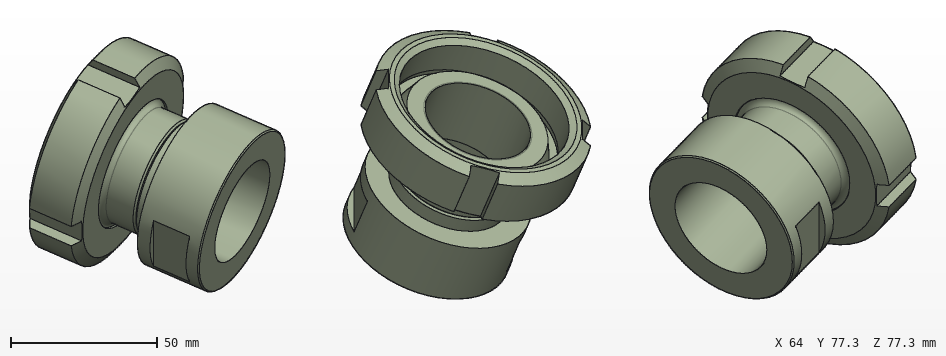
import cadquery as cq
import math

OVERALL_LENGTH = 64.0
BORE_DIAMETER = 38.0
NECK_DIAMETER = 43.0
WELD_X = 33.95
WELD_BEVEL = 0.7

NUT_SPAN = 77.35
NUT_LENGTH = 21.05
NUT_BEVEL_LENGTH = 2.3
NUT_FACE_DIAMETER = 69.5
NUT_THREAD_DIAMETER = 61.2
NUT_MOUTH_DIAMETER = 65.9
NUT_MOUTH_DEPTH = 1.5
NUT_REAR_HOLE_DIAMETER = 48.0
UNDERCUT_DIAMETER = 62.2
THREAD_END_X = 12.85
NUT_SEAT_X = 18.0
SLOT_COUNT = 4
SLOT_WIDTH = 10.2
SLOT_FLOOR_RADIUS = 35.0

NOSE_X = 8.3
NOSE_DIAMETER = 50.9
NOSE_RIM_DIAMETER = 39.0
NOSE_FACE_DROP = 0.5
CONE_DIAMETER = 56.0
FLANGE_FRONT_X = 15.0
FLANGE_DIAMETER = UNDERCUT_DIAMETER
HUB_DIAMETER = 47.8
NECK_START_X = 22.7

COLLAR_DIAMETER = 60.0
COLLAR_START_X = 39.8
COLLAR_BEVEL = 0.5
FLAT_START_X = 44.8
FLAT_LENGTH = 14.15
FLAT_DISTANCE = 55.0


def revolve_about_x(profile):
    """Turn a closed (x, radius) profile into a solid about the X axis."""
    return profile.close().revolve(360, (0, 0, 0), (1, 0, 0))


def make_nut():
    outer_radius = math.hypot(NUT_SPAN / 2, SLOT_WIDTH / 2)
    face_radius = NUT_FACE_DIAMETER / 2
    thread_radius = NUT_THREAD_DIAMETER / 2
    mouth_radius = NUT_MOUTH_DIAMETER / 2
    undercut_radius = UNDERCUT_DIAMETER / 2
    rear_hole_radius = NUT_REAR_HOLE_DIAMETER / 2
    profile = cq.Workplane("XY").polyline([
        (0, mouth_radius),
        (0, face_radius),
        (NUT_BEVEL_LENGTH, outer_radius),
        (NUT_LENGTH - NUT_BEVEL_LENGTH, outer_radius),
        (NUT_LENGTH, face_radius),
        (NUT_LENGTH, rear_hole_radius),
        (NUT_SEAT_X, rear_hole_radius),
        (NUT_SEAT_X, undercut_radius),
        (THREAD_END_X, undercut_radius),
        (THREAD_END_X, thread_radius),
        (NUT_MOUTH_DEPTH, thread_radius),
    ])
    nut = revolve_about_x(profile)

    slot_height = outer_radius
    for index in range(SLOT_COUNT):
        slot = (
            cq.Workplane("XY")
            .box(NUT_LENGTH, SLOT_WIDTH, slot_height, centered=(False, True, False))
            .translate((0, 0, SLOT_FLOOR_RADIUS))
            .rotate((0, 0, 0), (1, 0, 0), index * 360 / SLOT_COUNT)
        )
        nut = nut.cut(slot)
    return nut


def make_liner():
    bore_radius = BORE_DIAMETER / 2
    neck_radius = NECK_DIAMETER / 2
    hub_radius = HUB_DIAMETER / 2
    flange_radius = FLANGE_DIAMETER / 2
    fillet_radius = hub_radius - neck_radius
    fillet_start_x = NECK_START_X - fillet_radius
    fillet_middle = (
        NECK_START_X - fillet_radius * math.sqrt(0.5),
        hub_radius - fillet_radius * math.sqrt(0.5),
    )
    profile = (
        cq.Workplane("XY")
        .moveTo(NOSE_X, bore_radius)
        .lineTo(NOSE_X, NOSE_RIM_DIAMETER / 2)
        .lineTo(NOSE_X + NOSE_FACE_DROP, NOSE_DIAMETER / 2)
        .lineTo(FLANGE_FRONT_X, CONE_DIAMETER / 2)
        .lineTo(FLANGE_FRONT_X, flange_radius)
        .lineTo(NUT_SEAT_X, flange_radius)
        .lineTo(NUT_SEAT_X, hub_radius)
        .lineTo(fillet_start_x, hub_radius)
        .threePointArc(fillet_middle, (NECK_START_X, neck_radius))
        .lineTo(WELD_X - WELD_BEVEL, neck_radius)
        .lineTo(WELD_X, neck_radius - WELD_BEVEL)
        .lineTo(WELD_X, bore_radius)
    )
    return revolve_about_x(profile)


def make_collar():
    bore_radius = BORE_DIAMETER / 2
    neck_radius = NECK_DIAMETER / 2
    collar_radius = COLLAR_DIAMETER / 2
    profile = cq.Workplane("XY").polyline([
        (WELD_X, bore_radius),
        (WELD_X, neck_radius - WELD_BEVEL),
        (WELD_X + WELD_BEVEL, neck_radius),
        (COLLAR_START_X, neck_radius),
        (COLLAR_START_X, collar_radius),
        (OVERALL_LENGTH - COLLAR_BEVEL, collar_radius),
        (OVERALL_LENGTH, collar_radius - COLLAR_BEVEL),
        (OVERALL_LENGTH, bore_radius),
    ])
    collar = revolve_about_x(profile)

    flat_cutter = (
        cq.Workplane("XY")
        .box(FLAT_LENGTH, COLLAR_DIAMETER, COLLAR_DIAMETER, centered=(False, False, True))
        .translate((FLAT_START_X, FLAT_DISTANCE / 2, 0))
    )
    return collar.cut(flat_cutter).cut(flat_cutter.mirror("XZ"))


nut = make_nut()
liner = make_liner()
collar = make_collar()

result = cq.Compound.makeCompound([nut.val(), liner.val(), collar.val()])